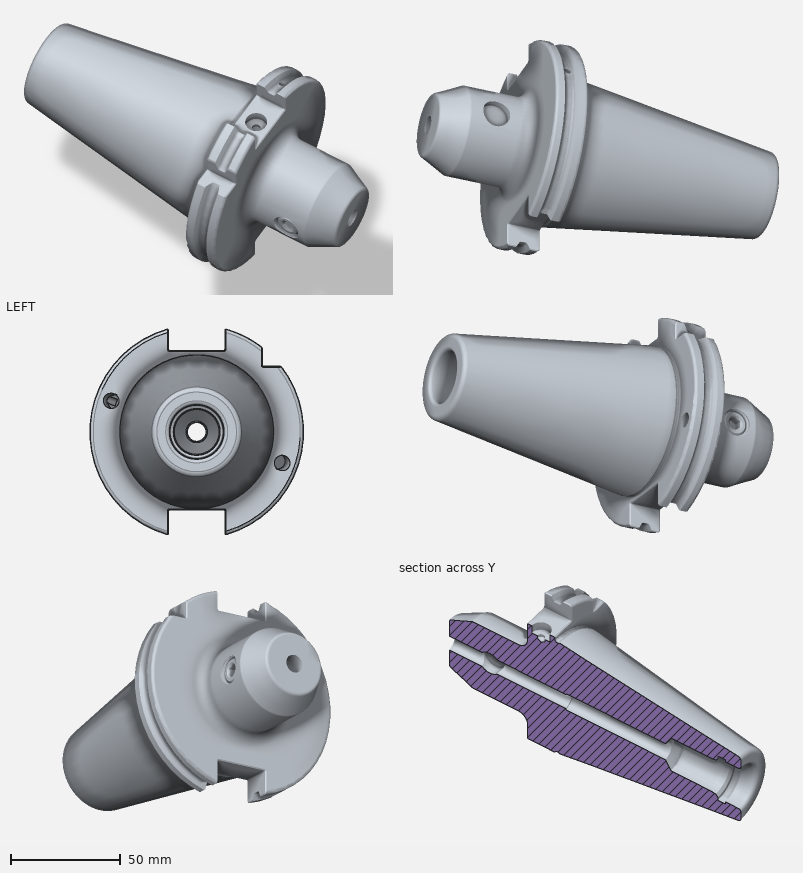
import cadquery as cq
import math

TOTAL_LENGTH = 164.8

TAPER_RATIO = 7 / 24
GAUGE_RADIUS = 35.1
TAPER_LENGTH = 102.3
SMALL_END_RADIUS = GAUGE_RADIUS - TAPER_LENGTH * TAPER_RATIO / 2
SMALL_END_FILLET = 2.3
NECK_RADIUS = 34.6
NECK_CHAMFER = 1.0
NECK_FILLET = 0.7

FLANGE_START = 105.0
FLANGE_WIDTH = 15.8
FLANGE_END = FLANGE_START + FLANGE_WIDTH
FLANGE_RADIUS = 48.8
FLANGE_EDGE_FILLET = 1.5

GROOVE_CENTER = 113.0
GROOVE_DEPTH = 3.1
GROOVE_ANGLE = math.radians(30)
GROOVE_MOUTH_HALF = 3.5
GROOVE_FLOOR_HALF = GROOVE_MOUTH_HALF - GROOVE_DEPTH * math.tan(GROOVE_ANGLE)
GROOVE_FLOOR_RADIUS = FLANGE_RADIUS - GROOVE_DEPTH
GROOVE_FILLET = 1.0

SHANK_RADIUS = 21.1
SHANK_FILLET = 5.3
NOSE_START = 151.7
NOSE_RADIUS = 14.8
NOSE_EDGE_FILLET = 1.2
NOSE_TIP_FILLET = 1.6

PILOT_RADIUS = 12.5
PILOT_DEPTH = 8.9
PILOT_MOUTH_FILLET = 1.6
RELIEF_RADIUS = 13.8
RELIEF_END = 13.0
THREAD_MOUTH_RADIUS = 12.2
LEAD_IN_START = 14.2
LEAD_IN_RADIUS = 10.7
THREAD_START = 17.1
THREAD_RADIUS = 10.2
THREAD_END = 39.5
DRILL_HALF_ANGLE = math.radians(59)
PASSAGE_RADIUS = 5.0
PASSAGE_END = 98.8
THROUGH_RADIUS = 4.3
DRILL_CONE_LENGTH = (THREAD_RADIUS - PASSAGE_RADIUS) / math.tan(DRILL_HALF_ANGLE)

SLOT_WIDTH = 25.7
TOP_SLOT_FLOOR = 37.2
BOTTOM_SLOT_FLOOR = 35.6
NOTCH_EDGE = 30.0
RECESS_FILLET = 0.5
RECESS_CHAMFER = 0.5

CHIP_HOLE_DIAMETER = 10.0
CHIP_HOLE_DEPTH = 4.6
CHIP_PILOT_DIAMETER = 4.0
CHIP_PILOT_DEPTH = 1.6

COOLANT_ANGLES = (20, 20 + 180)
COOLANT_PITCH_RADIUS = 41.5
COOLANT_DIAMETER = 7.0
COOLANT_DEPTH = 8.2
COOLANT_TILT = 15

GROOVE_HOLE_ANGLES = (COOLANT_ANGLES[0], 60)
GROOVE_HOLE_DIAMETER = 3.3
GROOVE_HOLE_DEPTH = 6.6

SCREW_X = 142.0
SCREW_DIAMETER = 12.0
SCREW_TOP = 19.6
SCREW_TIP = 5.0
SCREW_CHAMFER = 1.0
HEX_SIDES = 6
HEX_ACROSS_FLATS = 5.5
SOCKET_MOUTH_DIAMETER = 7.2
HEX_DEPTH = 5.0
SCREW_MOUTH_DIAMETER = 13.3
SCREW_MOUTH_FLOOR = 20.0

BALANCE_X = 139.2
BALANCE_DIAMETER = 13.2
BALANCE_FLOOR = 16.5

TOLERANCE = 0.02


def drill(diameter, depth, start, direction):
    """Cylinder running from the start point along the direction."""
    return cq.Workplane(cq.Solid.makeCylinder(
        diameter / 2, depth, cq.Vector(start), cq.Vector(direction)))


def turn(profile):
    return profile.close().revolve(360, (0, 0, 0), (1, 0, 0))


def edges_at(x, radius):
    """Selector for the circular edge at a given place along X."""
    margin = radius + TOLERANCE
    return cq.selectors.BoxSelector(
        (x - TOLERANCE, -margin, -margin), (x + TOLERANCE, margin, margin), boundingbox=True)


def make_taper():
    fillet_side = NECK_FILLET * (1 - math.sqrt(0.5))
    taper = turn(
        cq.Workplane("XY")
        .lineTo(0, SMALL_END_RADIUS)
        .lineTo(TAPER_LENGTH, GAUGE_RADIUS)
        .lineTo(TAPER_LENGTH + NECK_CHAMFER, NECK_RADIUS)
        .lineTo(FLANGE_START - NECK_FILLET, NECK_RADIUS)
        .threePointArc(
            (FLANGE_START - fillet_side, NECK_RADIUS + fillet_side),
            (FLANGE_START, NECK_RADIUS + NECK_FILLET))
        .lineTo(FLANGE_START, 0))
    return taper.edges(edges_at(0, SMALL_END_RADIUS)).fillet(SMALL_END_FILLET)


def recess_cutter(y_min, y_max, floor):
    """Block that clears the flange above a floor height, between two limits along Y."""
    return (
        cq.Workplane("XY", origin=(FLANGE_START, (y_min + y_max) / 2, floor))
        .box(FLANGE_WIDTH, y_max - y_min, FLANGE_RADIUS, centered=(False, True, False)))


def runs_full_width(edge):
    """True for an edge along X that reaches from one flange face to the other."""
    box = edge.BoundingBox()
    return math.isclose(box.xlen, FLANGE_WIDTH, abs_tol=TOLERANCE)


def soften_recesses(flange):
    """Round the inner corners of the recesses, then bevel the edges round their walls."""
    corner_zone = cq.selectors.BoxSelector(
        (FLANGE_START, -NOTCH_EDGE - TOLERANCE, -BOTTOM_SLOT_FLOOR - TOLERANCE),
        (FLANGE_END, SLOT_WIDTH / 2 + TOLERANCE, TOP_SLOT_FLOOR + TOLERANCE))
    flange = flange.edges("|X").edges(corner_zone).fillet(RECESS_FILLET)
    walls = flange.faces("%PLANE").faces("not(<X or >X)")
    rim = [edge for edge in walls.edges().vals() if not runs_full_width(edge)]
    return flange.newObject(rim).chamfer(RECESS_CHAMFER)


def make_groove():
    groove = turn(
        cq.Workplane("XY")
        .moveTo(GROOVE_CENTER - GROOVE_MOUTH_HALF, FLANGE_RADIUS)
        .lineTo(GROOVE_CENTER - GROOVE_FLOOR_HALF, GROOVE_FLOOR_RADIUS)
        .lineTo(GROOVE_CENTER + GROOVE_FLOOR_HALF, GROOVE_FLOOR_RADIUS)
        .lineTo(GROOVE_CENTER + GROOVE_MOUTH_HALF, FLANGE_RADIUS))
    for side in (-1, 1):
        corner = edges_at(GROOVE_CENTER + side * GROOVE_FLOOR_HALF, GROOVE_FLOOR_RADIUS)
        groove = groove.edges(corner).fillet(GROOVE_FILLET)
    return groove


def make_flange():
    half_slot = SLOT_WIDTH / 2
    top_slot = recess_cutter(-half_slot, half_slot, TOP_SLOT_FLOOR)
    bottom_slot = recess_cutter(-half_slot, half_slot, BOTTOM_SLOT_FLOOR).rotate((0, 0, 0), (1, 0, 0), 180)
    notch = recess_cutter(-FLANGE_RADIUS - NOTCH_EDGE, -NOTCH_EDGE, NOTCH_EDGE)
    flange = (
        cq.Workplane("YZ", origin=(FLANGE_START, 0, 0))
        .circle(FLANGE_RADIUS).extrude(FLANGE_WIDTH)
        .edges().fillet(FLANGE_EDGE_FILLET)
        .cut(top_slot).cut(bottom_slot).cut(notch))
    return soften_recesses(flange).cut(make_groove())


def make_shank():
    fillet_center = SHANK_RADIUS + SHANK_FILLET
    diagonal = SHANK_FILLET * math.sqrt(0.5)
    shank = turn(
        cq.Workplane("XY")
        .moveTo(FLANGE_END, 0)
        .lineTo(FLANGE_END, fillet_center)
        .threePointArc(
            (FLANGE_END + SHANK_FILLET - diagonal, fillet_center - diagonal),
            (FLANGE_END + SHANK_FILLET, SHANK_RADIUS))
        .lineTo(NOSE_START, SHANK_RADIUS)
        .lineTo(TOTAL_LENGTH, NOSE_RADIUS)
        .lineTo(TOTAL_LENGTH, 0))
    shank = shank.edges(edges_at(NOSE_START, SHANK_RADIUS)).fillet(NOSE_EDGE_FILLET)
    return shank.edges(edges_at(TOTAL_LENGTH, NOSE_RADIUS)).fillet(NOSE_TIP_FILLET)


def make_bore():
    """Pilot, relief groove, thread core and drill cone, then a passage that steps down once."""
    mouth_bulge = PILOT_MOUTH_FILLET * (1 - math.sqrt(0.5))
    return turn(
        cq.Workplane("XY")
        .lineTo(0, PILOT_RADIUS + PILOT_MOUTH_FILLET)
        .threePointArc((mouth_bulge, PILOT_RADIUS + mouth_bulge), (PILOT_MOUTH_FILLET, PILOT_RADIUS))
        .lineTo(PILOT_DEPTH, PILOT_RADIUS)
        .lineTo(PILOT_DEPTH, RELIEF_RADIUS)
        .lineTo(RELIEF_END, RELIEF_RADIUS)
        .lineTo(RELIEF_END, THREAD_MOUTH_RADIUS)
        .lineTo(LEAD_IN_START, LEAD_IN_RADIUS)
        .lineTo(THREAD_START, THREAD_RADIUS)
        .lineTo(THREAD_END, THREAD_RADIUS)
        .lineTo(THREAD_END + DRILL_CONE_LENGTH, PASSAGE_RADIUS)
        .lineTo(PASSAGE_END, PASSAGE_RADIUS)
        .lineTo(PASSAGE_END, THROUGH_RADIUS)
        .lineTo(TOTAL_LENGTH, THROUGH_RADIUS)
        .lineTo(TOTAL_LENGTH, 0))


def make_chip_hole():
    top = (GROOVE_CENTER, 0, TOP_SLOT_FLOOR)
    floor_height = TOP_SLOT_FLOOR - CHIP_HOLE_DEPTH
    pilot_radius = CHIP_PILOT_DIAMETER / 2
    down = (0, 0, -1)
    tip = cq.Workplane(cq.Solid.makeCone(
        pilot_radius, 0, pilot_radius / math.tan(DRILL_HALF_ANGLE),
        cq.Vector(GROOVE_CENTER, 0, floor_height - CHIP_PILOT_DEPTH), cq.Vector(down)))
    pilot = drill(CHIP_PILOT_DIAMETER, CHIP_PILOT_DEPTH, (GROOVE_CENTER, 0, floor_height), down)
    return drill(CHIP_HOLE_DIAMETER, CHIP_HOLE_DEPTH, top, down).union(pilot).union(tip)


def around_axis(x, radius, angle):
    """Point at a radius from the axis, its angle in degrees measured from +Y towards +Z."""
    turned = math.radians(angle)
    return cq.Vector(x, radius * math.cos(turned), radius * math.sin(turned))


def make_coolant_hole(angle):
    """Hole leaning towards the axis as it goes into the flange, begun in front of the face."""
    tilt = math.radians(COOLANT_TILT)
    direction = around_axis(math.cos(tilt), -math.sin(tilt), angle)
    lead = COOLANT_DIAMETER / 2 * math.tan(tilt)
    start = around_axis(FLANGE_START, COOLANT_PITCH_RADIUS, angle) - direction * lead
    return drill(COOLANT_DIAMETER, lead + COOLANT_DEPTH, start, direction)


def make_groove_hole(angle):
    start = around_axis(GROOVE_CENTER, FLANGE_RADIUS, angle)
    return drill(GROOVE_HOLE_DIAMETER, GROOVE_DEPTH + GROOVE_HOLE_DEPTH, start, around_axis(0, -1, angle))


def screw_axis_cone(outer_diameter, inner_diameter, outer_y):
    """45 degree cone on the screw axis, its wide end at outer_y, narrowing inwards."""
    outer_radius = outer_diameter / 2
    inner_radius = inner_diameter / 2
    return cq.Workplane(cq.Solid.makeCone(
        outer_radius, inner_radius, outer_radius - inner_radius,
        cq.Vector(SCREW_X, outer_y, 0), cq.Vector(0, 1, 0)))


def make_screw_hole():
    """Hole from the -Y side to the axis, with a wider mouth that narrows in a short cone."""
    start = (SCREW_X, -SHANK_RADIUS, 0)
    inward = (0, 1, 0)
    hole = drill(SCREW_DIAMETER, SHANK_RADIUS, start, inward)
    mouth = drill(SCREW_MOUTH_DIAMETER, SHANK_RADIUS - SCREW_MOUTH_FLOOR, start, inward)
    return hole.union(mouth).union(
        screw_axis_cone(SCREW_MOUTH_DIAMETER, SCREW_DIAMETER, -SCREW_MOUTH_FLOOR))


def make_housing():
    body = make_taper().union(make_flange()).union(make_shank())
    body = body.cut(make_bore()).cut(make_chip_hole()).cut(make_screw_hole())
    for angle in COOLANT_ANGLES:
        body = body.cut(make_coolant_hole(angle))
    for angle in GROOVE_HOLE_ANGLES:
        body = body.cut(make_groove_hole(angle))
    balance_depth = SHANK_RADIUS - BALANCE_FLOOR
    return body.cut(drill(BALANCE_DIAMETER, balance_depth, (BALANCE_X, SHANK_RADIUS, 0), (0, -1, 0)))


def make_screw():
    """Threaded plug with a hexagon socket, two of whose corners point along Z."""
    across_corners = HEX_ACROSS_FLATS / math.cos(math.pi / HEX_SIDES)
    outer_end = cq.Workplane("XZ", origin=(SCREW_X, -SCREW_TOP, 0))
    screw = outer_end.circle(SCREW_DIAMETER / 2).extrude(SCREW_TIP - SCREW_TOP)
    screw = screw.faces("<Y").edges().chamfer(SCREW_CHAMFER)
    socket = (
        outer_end.transformed(rotate=(0, 0, 180 / HEX_SIDES))
        .polygon(HEX_SIDES, across_corners).extrude(-HEX_DEPTH))
    socket_mouth = screw_axis_cone(SOCKET_MOUTH_DIAMETER, HEX_ACROSS_FLATS, -SCREW_TOP)
    return screw.cut(socket).cut(socket_mouth)


housing = make_housing()
screw = make_screw()
result = cq.Compound.makeCompound([housing.val(), screw.val()])